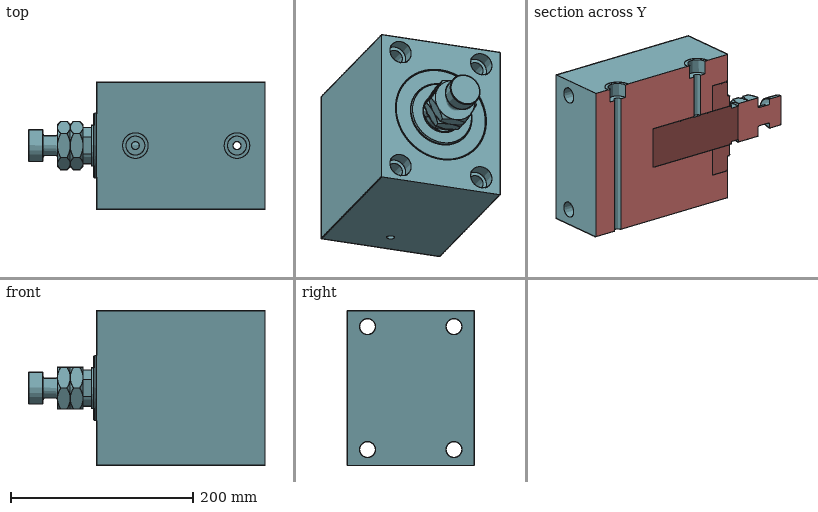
import cadquery as cq
import math


overall_length = 260.0
housing_width = 140.0
housing_height = 170.0
housing_edge_chamfer = 0.5

mount_spacing_y = 95.0
mount_spacing_z = 135.0
mount_hole_diameter = 17.2
mount_counterbore_diameter = 25.0
mount_counterbore_depth = 17.0

front_port_x = 42.6
rear_port_x = 154.2
port_spotface_diameter = 28.0
port_spotface_depth = 0.3
port_bore_diameter = 20.8
port_bore_depth = 15.0
port_duct_diameter = 8.5

gland_diameter = 105.0
gland_depth = 20.8
gland_seat_chamfer = 1.0
gland_boss_diameter = 71.8
gland_boss_height = 3.0
gland_boss_chamfer = 1.3

rod_diameter = 45.0
rod_inner_depth = 104.0
rod_collar_length = 2.5
wrench_length = 9.0
wrench_diameter = 44.2
wrench_across_flats = 40.0

head_diameter = 35.0
head_length = 16.5
head_chamfer = 0.8
neck_diameter = 22.0
neck_fillet = 1.5
neck_length = 15.5
hex_across_flats = 46.0
hex_length = 14.0
hex_count = 2

gland_front_x = -gland_boss_height
wrench_rear_x = gland_front_x - rod_collar_length
rod_front_x = wrench_rear_x - wrench_length
hex_front_x = rod_front_x - hex_count * hex_length
head_rear_x = hex_front_x - neck_length
head_front_x = head_rear_x - head_length

housing_length = overall_length + head_front_x


def cylinder_x(diameter, start_x, end_x):
    """Round bar along the X axis between two X places."""
    return cq.Workplane("YZ", origin=(start_x, 0, 0)).circle(diameter / 2).extrude(end_x - start_x)


def port_cutter(x, bottom_z):
    """Stepped port going down from the top face, with its duct ending at bottom_z."""
    top = cq.Workplane("XY", origin=(x, 0, housing_height / 2))
    spotface = top.circle(port_spotface_diameter / 2).extrude(-port_spotface_depth)
    bore = top.circle(port_bore_diameter / 2).extrude(-port_bore_depth)
    duct = top.circle(port_duct_diameter / 2).extrude(bottom_z - housing_height / 2)
    return spotface.union(bore).union(duct)


def make_housing():
    block = (
        cq.Workplane("YZ")
        .rect(housing_width, housing_height)
        .extrude(housing_length)
        .edges("|X")
        .chamfer(housing_edge_chamfer)
    )
    block = (
        block.faces("<X")
        .workplane(origin=(0, 0, 0))
        .rect(mount_spacing_y, mount_spacing_z, forConstruction=True)
        .vertices()
        .cboreHole(mount_hole_diameter, mount_counterbore_diameter, mount_counterbore_depth)
    )

    seat = cylinder_x(gland_diameter, 0, gland_depth)
    mouth = cq.Solid.makeCone(
        gland_diameter / 2 + gland_seat_chamfer,
        gland_diameter / 2,
        gland_seat_chamfer,
        cq.Vector(0, 0, 0),
        cq.Vector(1, 0, 0),
    )
    rod_bore = cylinder_x(rod_diameter, 0, rod_inner_depth)
    block = block.cut(seat).cut(mouth).cut(rod_bore)

    block = block.cut(port_cutter(front_port_x, 0))
    return block.cut(port_cutter(rear_port_x, -housing_height / 2))


def make_gland():
    boss = cylinder_x(gland_boss_diameter, gland_front_x, 0).faces("<X").chamfer(gland_boss_chamfer)
    ring = cylinder_x(gland_diameter, 0, gland_depth)
    rod_hole = cylinder_x(rod_diameter, gland_front_x, gland_depth)
    return boss.union(ring).cut(rod_hole)


def make_rod():
    bar = cylinder_x(rod_diameter, wrench_rear_x, rod_inner_depth)
    wrench_square = (
        cq.Workplane("YZ", origin=(rod_front_x, 0, 0))
        .rect(wrench_across_flats, wrench_across_flats)
        .extrude(wrench_length)
    )
    wrench = cylinder_x(wrench_diameter, rod_front_x, wrench_rear_x).intersect(wrench_square)
    return bar.union(wrench)


def make_hexagon(start_x):
    """Hexagon with flats at top and bottom and its corners turned off at 45 degrees on both ends."""
    corner_diameter = hex_across_flats / math.cos(math.pi / 6)
    corner_chamfer = (corner_diameter - hex_across_flats) / 2
    prism = cq.Workplane("YZ", origin=(start_x, 0, 0)).polygon(6, corner_diameter).extrude(hex_length)
    blank = cylinder_x(corner_diameter, start_x, start_x + hex_length)
    turned = blank.faces("<X or >X").chamfer(corner_chamfer)
    return prism.intersect(turned)


def make_coupling():
    head_radius = head_diameter / 2
    neck_radius = neck_diameter / 2
    fillet_arc = neck_fillet * (1 - math.sqrt(0.5))

    coupling = (
        cq.Workplane("XY")
        .moveTo(head_front_x, 0)
        .lineTo(head_front_x, head_radius - head_chamfer)
        .lineTo(head_front_x + head_chamfer, head_radius)
        .lineTo(head_rear_x - head_chamfer, head_radius)
        .lineTo(head_rear_x, head_radius - head_chamfer)
        .lineTo(head_rear_x, neck_radius + neck_fillet)
        .threePointArc(
            (head_rear_x + fillet_arc, neck_radius + fillet_arc),
            (head_rear_x + neck_fillet, neck_radius),
        )
        .lineTo(hex_front_x - neck_fillet, neck_radius)
        .threePointArc(
            (hex_front_x - fillet_arc, neck_radius + fillet_arc),
            (hex_front_x, neck_radius + neck_fillet),
        )
        .lineTo(hex_front_x, 0)
        .close()
        .revolve(360, (0, 0, 0), (1, 0, 0))
    )
    for index in range(hex_count):
        coupling = coupling.union(make_hexagon(hex_front_x + index * hex_length))
    return coupling


housing = make_housing()
gland = make_gland()
rod = make_rod()
coupling = make_coupling()

result = cq.Compound.makeCompound([housing.val(), gland.val(), rod.val(), coupling.val()])